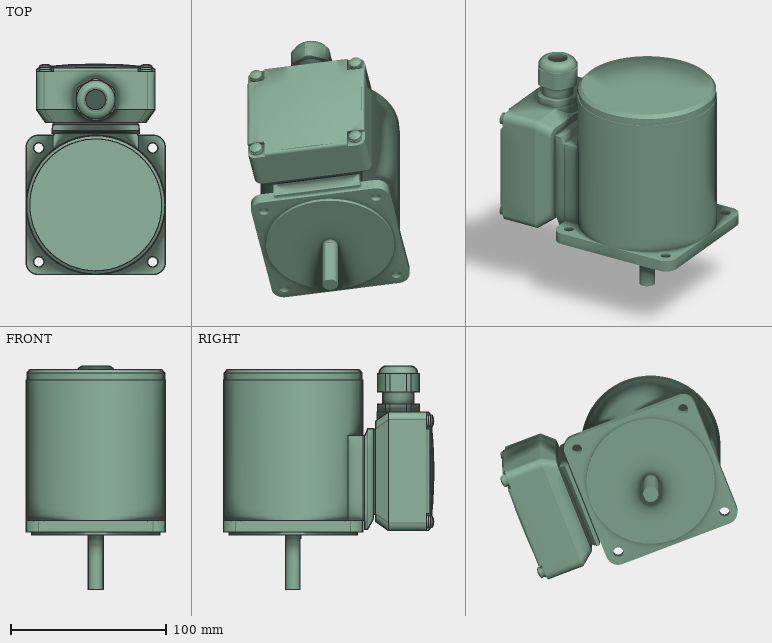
import cadquery as cq
import math


flange_width = 90.0
flange_thickness = 7.5
flange_corner_radius = 8.0
bolt_spacing = 73.5
bolt_hole_diameter = 6.5

pilot_diameter = 82.8
pilot_height = 1.9

shaft_diameter = 10.0
shaft_length = 37.1
shaft_flat_offset = 4.5
shaft_flat_start = 4.0

case_diameter = flange_width
case_top = 98.1
cap_diameter = 89.2
cap_top = 105.0
cap_chamfer_radial = 2.0
cap_chamfer_height = 2.3

pad_width = 55.5
pad_top = 62.5
pad_lip_width = 54.5
pad_face_y = 46.1

wedge_outline_y = 48.1
wedge_back_y = 51.9
wedge_seat_width = 56.6
wedge_back_width = 55.5
wedge_top = 66.9
wedge_seat_top = 61.8
wedge_bottom = 1.9
wedge_back_bottom = 8.7

spacer_width = 54.5
spacer_bottom = 11.5
spacer_top = 66.6

box_base_y = 53.2
box_taper_end_y = 61.5
box_rim_y = 86.4
box_size = 76.7
box_taper = 5.9
box_corner_radius = 5.0
box_center_z = 39.3
box_top = box_center_z + box_size / 2

lid_edge_radius = 1.9
lid_edge_y = box_rim_y + lid_edge_radius
overall_depth = 136.0
lid_crown_y = overall_depth - flange_width / 2
lid_crown_radius = 317.9

screw_offset = 32.5
screw_diameter = 7.8
screw_groove_depth = 0.22
screw_groove_start_y = 87.4
screw_groove_end_y = 88.7
screw_rim_y = 89.6
screw_crown_y = 90.7
pocket_inner = 27.2
pocket_floor_y = 86.0

gland_y = 67.9
gland_boss_diameter = 27.7
gland_boss_depth = 14.5
hex_across_flats = 25.0
hex_corner_diameter = 27.2
lower_hex_top = 82.7
gland_neck_diameter = 20.2
upper_hex_bottom = 90.6
upper_hex_top = 102.3
gland_dome_height = 5.0
gland_bore_diameter = 13.0


def cylinder(diameter, z_low, z_high, y=0.0):
    """Vertical cylinder between two heights."""
    return cq.Workplane("XY", origin=(0, y, z_low)).circle(diameter / 2).extrude(z_high - z_low)


def block(width, y_low, y_high, z_low, z_high):
    """Box centred on x = 0."""
    size = (width, y_high - y_low, z_high - z_low)
    return cq.Workplane("XY", origin=(0, y_low, z_low)).box(*size, centered=(True, False, False))


def lid_plane(y):
    """Plane facing +Y at the given y, with its origin on the middle of the box."""
    return cq.Plane(origin=(0, y, box_center_z), xDir=(-1, 0, 0), normal=(0, 1, 0))


def rounded_square(size):
    return cq.Sketch().rect(size, size).vertices().fillet(box_corner_radius)


def corner_points(offset):
    return [(x, z) for x in (-offset, offset) for z in (-offset, offset)]


def make_flange():
    flange = (
        cq.Workplane("XY")
        .rect(flange_width, flange_width)
        .extrude(flange_thickness)
        .edges("|Z")
        .fillet(flange_corner_radius)
    )
    return (
        flange.faces(">Z")
        .workplane()
        .rect(bolt_spacing, bolt_spacing, forConstruction=True)
        .vertices()
        .hole(bolt_hole_diameter)
    )


def make_case():
    """Cylindrical case with a chamfered end cap, turned about Z."""
    case_radius = case_diameter / 2
    cap_radius = cap_diameter / 2
    outline = [
        (0, 0),
        (case_radius, 0),
        (case_radius, case_top),
        (cap_radius, case_top),
        (cap_radius, cap_top - cap_chamfer_height),
        (cap_radius - cap_chamfer_radial, cap_top),
        (0, cap_top),
    ]
    return cq.Workplane("XZ").polyline(outline).close().revolve(360, (0, 0), (0, 1))


def make_shaft():
    shaft = cylinder(shaft_diameter, -shaft_length, 0)
    flat_cut = block(shaft_diameter, shaft_flat_offset, shaft_diameter, -shaft_length, -shaft_flat_start)
    return shaft.cut(flat_cut)


def make_pad():
    """Seat for the terminal box, with a slightly narrower lip beyond the flange edge."""
    pad = block(pad_width, 0, flange_width / 2, flange_thickness, pad_top)
    lip = block(pad_lip_width, 0, pad_face_y, flange_thickness, pad_top)
    return pad.union(lip)


def make_motor():
    motor = make_flange().union(make_case()).union(make_pad())
    motor = motor.union(cylinder(pilot_diameter, -pilot_height, 0))
    return motor.union(make_shaft())


def make_wedge_plate():
    """Plate between pad and box: sloped underneath, bevelled at its upper front edge."""
    profile = [
        (pad_face_y, wedge_bottom),
        (wedge_outline_y, wedge_bottom),
        (wedge_back_y, wedge_back_bottom),
        (wedge_back_y, wedge_top),
        (wedge_outline_y, wedge_top),
        (pad_face_y, wedge_seat_top),
    ]
    plate = cq.Workplane("YZ").polyline(profile).close().extrude(wedge_seat_width / 2, both=True)
    plan = [
        (-wedge_seat_width / 2, pad_face_y),
        (wedge_seat_width / 2, pad_face_y),
        (wedge_seat_width / 2, wedge_outline_y),
        (wedge_back_width / 2, wedge_back_y),
        (-wedge_back_width / 2, wedge_back_y),
        (-wedge_seat_width / 2, wedge_outline_y),
    ]
    return plate.intersect(cq.Workplane("XY").polyline(plan).close().extrude(wedge_top))


def make_enclosure():
    """Rounded square box that tapers towards the motor."""
    base = rounded_square(box_size - 2 * box_taper)
    full = rounded_square(box_size)
    taper_depth = box_taper_end_y - box_base_y
    taper = (
        cq.Workplane(lid_plane(box_base_y))
        .placeSketch(base, full.moved(cq.Location(cq.Vector(0, 0, taper_depth))))
        .loft()
    )
    straight = (
        cq.Workplane(lid_plane(box_taper_end_y))
        .placeSketch(full)
        .extrude(lid_edge_y - box_taper_end_y)
        .faces(">Y")
        .edges()
        .fillet(lid_edge_radius)
    )
    return taper.union(straight)


def make_lid_crown():
    """Shallow spherical crown on the lid."""
    crown_size = box_size - 2 * lid_edge_radius
    crown = (
        cq.Workplane(lid_plane(box_rim_y))
        .rect(crown_size, crown_size)
        .extrude(lid_crown_y - box_rim_y)
    )
    sphere_center = (0, lid_crown_y - lid_crown_radius, box_center_z)
    return crown.intersect(cq.Workplane("XY").sphere(lid_crown_radius).translate(sphere_center))


def make_corner_pockets():
    """Square pockets that open the four lid corners."""
    pocket_size = box_size / 2 - pocket_inner
    pocket_middle = pocket_inner + pocket_size / 2
    return (
        cq.Workplane(lid_plane(pocket_floor_y))
        .pushPoints(corner_points(pocket_middle))
        .rect(pocket_size, pocket_size)
        .extrude(lid_crown_y - pocket_floor_y)
    )


def make_screw_head(x, z):
    """Round screw head with a shallow groove and a domed end, turned about its own axis."""
    radius = screw_diameter / 2
    cap_height = screw_crown_y - screw_rim_y
    dome_radius = (radius**2 + cap_height**2) / (2 * cap_height)
    mid_radius = radius / 2
    mid_y = screw_crown_y - dome_radius + math.sqrt(dome_radius**2 - mid_radius**2)
    groove_radius = radius - screw_groove_depth
    head = (
        cq.Workplane("XY")
        .moveTo(0, pocket_floor_y)
        .lineTo(radius, pocket_floor_y)
        .lineTo(radius, screw_groove_start_y)
        .lineTo(groove_radius, screw_groove_start_y)
        .lineTo(groove_radius, screw_groove_end_y)
        .lineTo(radius, screw_groove_end_y)
        .lineTo(radius, screw_rim_y)
        .threePointArc((mid_radius, mid_y), (0, screw_crown_y))
        .close()
        .revolve(360, (0, 0), (0, 1))
    )
    return head.translate((x, 0, box_center_z + z))


def make_hex(z_low, z_high):
    """Hexagon with rounded corners and two flats facing +X and -X."""
    corner_distance = hex_across_flats / math.cos(math.pi / 6)
    prism = (
        cq.Workplane("XY", origin=(0, gland_y, z_low))
        .transformed(rotate=(0, 0, 90))
        .polygon(6, corner_distance)
        .extrude(z_high - z_low)
    )
    return prism.intersect(cylinder(hex_corner_diameter, z_low, z_high, gland_y))


def make_gland():
    gland = cylinder(gland_boss_diameter, box_top - gland_boss_depth, box_top, gland_y)
    gland = gland.union(make_hex(box_top, lower_hex_top))
    gland = gland.union(cylinder(gland_neck_diameter, lower_hex_top, upper_hex_bottom, gland_y))
    gland = gland.union(make_hex(upper_hex_bottom, upper_hex_top))
    gland_top = upper_hex_top + gland_dome_height
    dome = cylinder(hex_across_flats, upper_hex_bottom, gland_top, gland_y)
    gland = gland.union(dome.faces(">Z").edges().fillet(gland_dome_height))
    return gland.cut(cylinder(gland_bore_diameter, box_top, gland_top, gland_y))


def make_terminal_box():
    terminal_box = make_enclosure().union(make_lid_crown()).cut(make_corner_pockets())
    for x, z in corner_points(screw_offset):
        terminal_box = terminal_box.union(make_screw_head(x, z))
    terminal_box = terminal_box.union(make_wedge_plate())
    terminal_box = terminal_box.union(
        block(spacer_width, wedge_back_y, box_base_y, spacer_bottom, spacer_top)
    )
    return terminal_box.union(make_gland())


motor = make_motor()
terminal_box = make_terminal_box()
result = cq.Compound.makeCompound([motor.val(), terminal_box.val()])